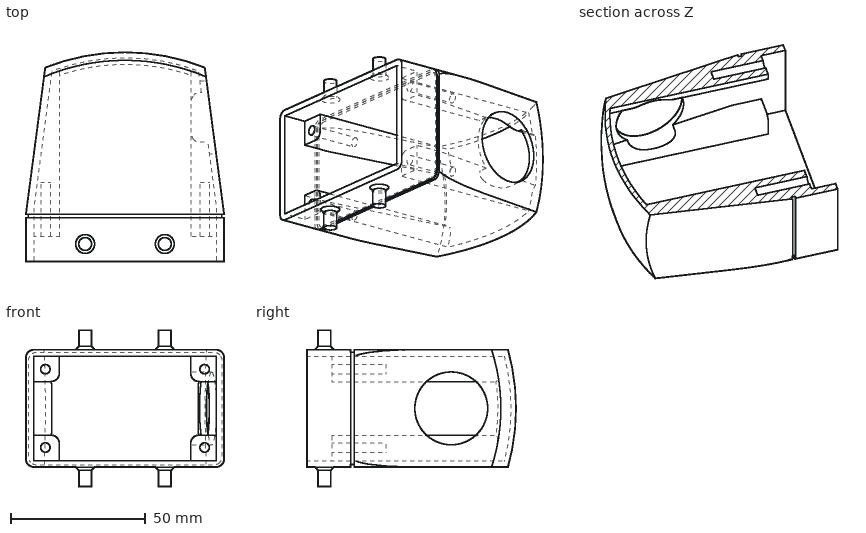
import cadquery as cq
import math


width = 73.5
height = 43.5
length = 77.55
corner_radius = 3.0
dome_radius = 80.0
taper = math.tan(math.radians(7.5))

groove_start = 16.25
groove_end = 17.5
groove_depth = 0.9

side_wall = 3.0
flat_wall = 2.4
dome_wall = 2.0
cavity_width = width - 2 * side_wall
cavity_height = height - 2 * flat_wall
cavity_taper_start = 20.5

post_size = 9.4
post_start = 9.3
post_corner_radius = 3.0
screw_hole_diameter = 3.5
screw_hole_depth = 20.0
screw_hole_x = 29.5
screw_hole_z = 14.5

cable_hole_diameter = 27.0
cable_hole_y = 53.5

pin_diameter = 4.75
pin_tip_z = 29.0
pin_x = 14.75
pin_y = 6.5
collar_diameter = 7.0
collar_height = 1.25


def box_along_y(size_x, size_z, start, end):
    """Box centred on the Y axis, from Y = start to Y = end."""
    return (
        cq.Workplane("XY")
        .box(size_x, end - start, size_z)
        .translate((0, (start + end) / 2, 0))
    )


def tapered_block(size_x, size_z, taper_start, end):
    """Block from the rim to Y = end whose two sides lean inward beyond taper_start."""
    half_rim = size_x / 2
    half_end = half_rim - taper * (end - taper_start)
    outline = [
        (-half_rim, 0),
        (half_rim, 0),
        (half_rim, taper_start),
        (half_end, end),
        (-half_end, end),
        (-half_rim, taper_start),
    ]
    return cq.Workplane("XY").polyline(outline).close().extrude(size_z / 2, both=True)


def domed(block, radius, apex):
    """Round off the +Y end of a block with a sphere that reaches Y = apex."""
    sphere = cq.Workplane("XZ").sphere(radius).translate((0, apex - radius, 0))
    return block.intersect(sphere)


def make_envelope():
    """Solid outer form of the hood, without groove and cavity."""
    rounded = box_along_y(width, height, 0, length).edges("|Y").fillet(corner_radius)
    tapered = tapered_block(width, height, groove_end, length)
    return domed(rounded.intersect(tapered), dome_radius, length)


def make_groove():
    """Ring of material removed by the groove."""
    ring = box_along_y(width, height, groove_start, groove_end)
    core = box_along_y(
        width - 2 * groove_depth, height - 2 * groove_depth, groove_start, groove_end
    )
    return ring.cut(core.edges("|Y").fillet(corner_radius))


def make_cavity():
    """Hollow of the hood, running parallel to the tapered sides and the dome."""
    block = tapered_block(cavity_width, cavity_height, cavity_taper_start, length)
    return domed(block, dome_radius - dome_wall, length - dome_wall)


def make_post(side_x, side_z):
    """Screw post in one corner of the cavity, with its blind hole."""
    post = (
        box_along_y(post_size, post_size, post_start, length)
        .translate(
            (
                side_x * (cavity_width - post_size) / 2,
                0,
                side_z * (cavity_height - post_size) / 2,
            )
        )
        .edges("|Y and " + ("<X" if side_x > 0 else ">X"))
        .edges("<Z" if side_z > 0 else ">Z")
        .fillet(post_corner_radius)
    )
    hole = (
        cq.Workplane("XZ", origin=(side_x * screw_hole_x, post_start, side_z * screw_hole_z))
        .circle(screw_hole_diameter / 2)
        .extrude(-screw_hole_depth)
    )
    return post.cut(hole)


def make_hood():
    cavity = make_cavity()
    cable_hole = (
        cq.Workplane("YZ", origin=(0, cable_hole_y, 0))
        .circle(cable_hole_diameter / 2)
        .extrude(width / 2)
    )
    for side_x in (-1, 1):
        for side_z in (-1, 1):
            cavity = cavity.cut(make_post(side_x, side_z))
    return make_envelope().cut(make_groove()).cut(cavity).cut(cable_hole)


def make_pin(x, side_z):
    """Locking pin standing on the outer face, with a conical collar at its foot."""
    pin_radius = pin_diameter / 2
    pin_length = pin_tip_z - height / 2
    profile = (
        cq.Workplane("XZ")
        .lineTo(collar_diameter / 2, 0)
        .lineTo(pin_radius, collar_height)
        .lineTo(pin_radius, pin_length)
        .lineTo(0, pin_length)
        .close()
    )
    pin = profile.revolve(360, (0, 0, 0), (0, 1, 0))
    if side_z < 0:
        pin = pin.mirror("XY")
    return pin.translate((x, pin_y, side_z * height / 2))


hood = make_hood()
pins = [make_pin(x, side_z) for x in (-pin_x, pin_x) for side_z in (-1, 1)]

result = cq.Compound.makeCompound([hood.val(), *[pin.val() for pin in pins]])